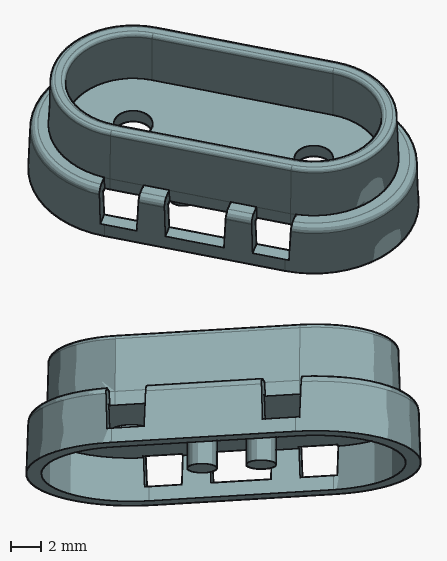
import cadquery as cq

length = 26.5
width = 14.0
height = 8.0
end_spacing = length - width
draft = 2.0

skirt_height = height / 2
skirt_wall = 1.0
plate_thickness = 0.98
cavity_height = skirt_height - plate_thickness
cavity_width = width - 2 * skirt_wall
skirt_rounding = 0.5

cup_width = 11.32
cup_depth = height - skirt_height
cup_inner_width = 9.0
rim_rounding = 0.3

hole_diameter = 2.6
pin_diameter = 2.0
pin_spacing = 4.0
pin_y = -2.78

slot_sill = 1.0
slot_height = skirt_height - slot_sill
side_slot_width = 2.52
side_slot_offset = 5.27
middle_slot_width = 4.05
slot_plate_bite = 0.53
slot_inner_y = cavity_width / 2 - slot_plate_bite
slot_overrun = 0.26
slot_depth = width / 2 - slot_inner_y + slot_overrun


def stadium(stadium_width, bottom, rise, taper=0):
    """Solid with rounded ends that share the same two centres."""
    return (
        cq.Workplane("XY")
        .workplane(offset=bottom)
        .slot2D(end_spacing + stadium_width, stadium_width)
        .extrude(rise, taper=taper)
    )


def slot_cutter(center_x, side, bottom_width):
    """Slot that widens upward; side is -1 for the front wall and 1 for the back."""
    return (
        cq.Workplane("XY")
        .workplane(offset=slot_sill)
        .center(center_x, side * (slot_inner_y + slot_depth / 2))
        .rect(bottom_width, slot_depth)
        .extrude(slot_height, taper=-draft)
    )


skirt = stadium(width, 0, skirt_height, draft).faces(">Z").edges().fillet(skirt_rounding)
skirt = skirt.cut(stadium(cavity_width, 0, cavity_height))
cup = stadium(cup_width, skirt_height, cup_depth, draft)
cup = cup.cut(stadium(cup_inner_width, skirt_height, cup_depth))
cup = cup.faces(">Z").edges().fillet(rim_rounding)

for wall_side in (-1, 1):
    for slot_x in (-side_slot_offset, side_slot_offset):
        skirt = skirt.cut(slot_cutter(slot_x, wall_side, side_slot_width))
skirt = skirt.cut(slot_cutter(0, -1, middle_slot_width))

plate_core = stadium(cup_width, cavity_height, plate_thickness)
result = skirt.union(plate_core).union(cup)

holes = (
    cq.Workplane("XY")
    .pushPoints([(-end_spacing / 2, 0), (end_spacing / 2, 0)])
    .circle(hole_diameter / 2)
    .extrude(height)
)
result = result.cut(holes)

pins = (
    cq.Workplane("XY")
    .workplane(offset=slot_sill)
    .pushPoints([(-pin_spacing / 2, pin_y), (pin_spacing / 2, pin_y)])
    .circle(pin_diameter / 2)
    .extrude(cavity_height - slot_sill)
)
result = result.union(pins)